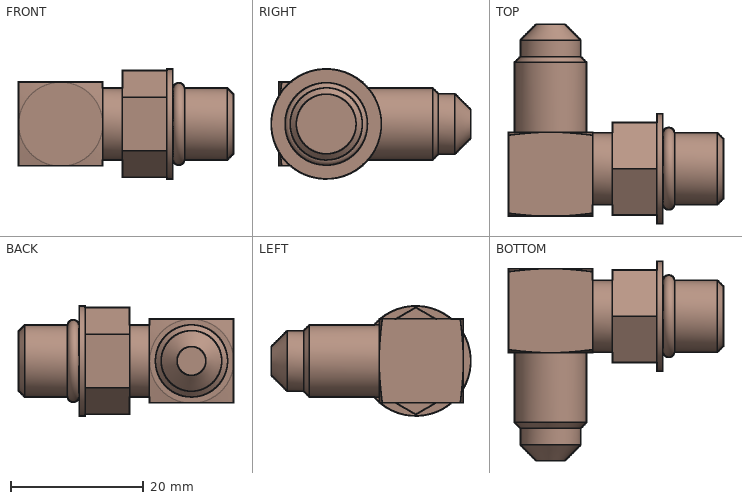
import cadquery as cq
import math

block_side = 12.7
block_front_y = -7.2
block_back_y = block_front_y + block_side
corner_bevel_angle = 10.0

pipe_radius = 5.45
run_end_x = 32.5 - block_side / 2
end_bevel = 0.95
nut_start_x = 9.35
nut_length = 6.73
nut_across_flats = 14.0
washer_thickness = 0.9
washer_diameter = 16.68
ring_section_radius = 0.88
ring_outer_radius = 6.25

outer_length_y = 30.2
branch_end_y = outer_length_y - washer_diameter / 2
neck_radius = 4.6
shoulder_bevel = pipe_radius - neck_radius
neck_length = 2.5
tip_radius = 2.18
tip_length = neck_radius - tip_radius


def make_block():
    """Cube whose +Y and -Y corners are turned off by shallow cones."""
    half_side = block_side / 2
    turning_radius = block_side
    bevel_drop = (turning_radius - half_side) * math.tan(math.radians(corner_bevel_angle))
    cube = cq.Workplane("XY").box(block_side, block_side, block_side)
    turned_envelope = (
        cq.Workplane("XY")
        .moveTo(0, -half_side)
        .lineTo(half_side, -half_side)
        .lineTo(turning_radius, -half_side + bevel_drop)
        .lineTo(turning_radius, half_side - bevel_drop)
        .lineTo(half_side, half_side)
        .lineTo(0, half_side)
        .close()
        .revolve(360, (0, 0, 0), (0, 1, 0))
    )
    return cube.intersect(turned_envelope).translate((0, block_front_y + half_side, 0))


def make_branch():
    """Turned branch, rooted inside the block."""
    neck_end_y = branch_end_y - tip_length
    neck_start_y = neck_end_y - neck_length
    return (
        cq.Workplane("XY")
        .moveTo(0, 0)
        .lineTo(pipe_radius, 0)
        .lineTo(pipe_radius, neck_start_y - shoulder_bevel)
        .lineTo(neck_radius, neck_start_y)
        .lineTo(neck_radius, neck_end_y)
        .lineTo(tip_radius, branch_end_y)
        .lineTo(0, branch_end_y)
        .close()
        .revolve(360, (0, 0, 0), (0, 1, 0))
    )


def make_run_pipe():
    """Plain pipe from inside the block to the bevelled free end."""
    return (
        cq.Workplane("YZ")
        .circle(pipe_radius)
        .extrude(run_end_x)
        .faces(">X")
        .chamfer(end_bevel)
    )


def make_nut_and_washer():
    """Hexagon nut with two corners on the Z axis, backed by a round washer."""
    corner_diameter = nut_across_flats / math.cos(math.pi / 6)
    nut = (
        cq.Workplane("YZ", origin=(nut_start_x, 0, 0))
        .transformed(rotate=(0, 0, 90))
        .polygon(6, corner_diameter)
        .extrude(nut_length)
    )
    washer = (
        cq.Workplane("YZ", origin=(nut_start_x + nut_length, 0, 0))
        .circle(washer_diameter / 2)
        .extrude(washer_thickness)
    )
    return nut.union(washer)


def make_seal_ring():
    """Seal ring seated against the washer."""
    ring_x = nut_start_x + nut_length + washer_thickness + ring_section_radius
    return (
        cq.Workplane("XY")
        .center(ring_x, ring_outer_radius - ring_section_radius)
        .circle(ring_section_radius)
        .revolve(360, (0, ring_section_radius - ring_outer_radius, 0),
                 (1, ring_section_radius - ring_outer_radius, 0))
    )


result = (
    make_block()
    .union(make_branch())
    .union(make_run_pipe())
    .union(make_nut_and_washer())
    .union(make_seal_ring())
)